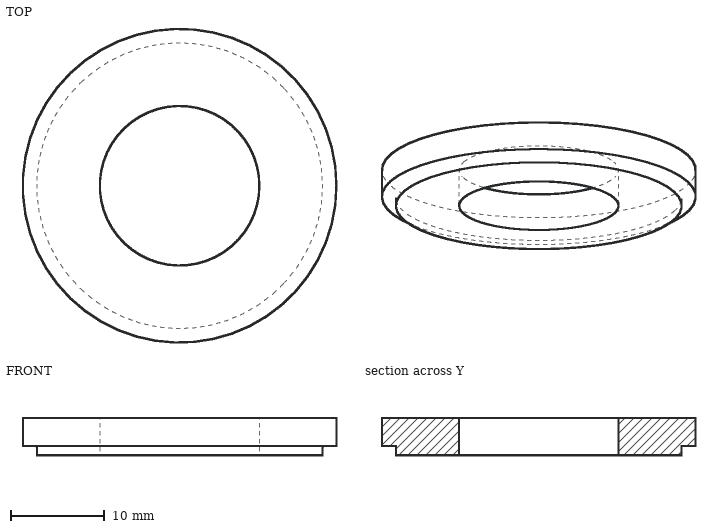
import cadquery as cq

flange_diameter = 33.5
flange_thickness = 3.0
spigot_diameter = 30.5
spigot_height = 1.0
bore_diameter = 17.0
root_fillet_radius = 0.1

flange_radius = flange_diameter / 2
spigot_radius = spigot_diameter / 2
bore_radius = bore_diameter / 2
total_height = spigot_height + flange_thickness

fillet_center_r = spigot_radius + root_fillet_radius
fillet_center_z = spigot_height - root_fillet_radius
fillet_mid_offset = root_fillet_radius * 0.5 ** 0.5
fillet_start = (spigot_radius, fillet_center_z)
fillet_mid = (fillet_center_r - fillet_mid_offset, fillet_center_z + fillet_mid_offset)
fillet_end = (fillet_center_r, spigot_height)

half_section = (
    cq.Workplane("XZ")
    .moveTo(bore_radius, 0)
    .lineTo(spigot_radius, 0)
    .lineTo(*fillet_start)
    .threePointArc(fillet_mid, fillet_end)
    .lineTo(flange_radius, spigot_height)
    .lineTo(flange_radius, total_height)
    .lineTo(bore_radius, total_height)
    .close()
)

result = half_section.revolve(360, (0, 0, 0), (0, 1, 0))